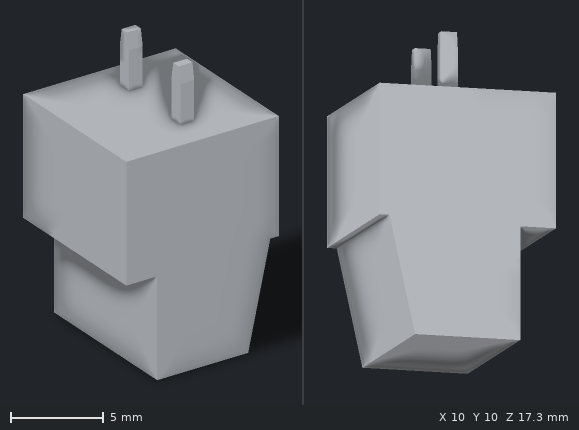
import cadquery as cq

total_height = 17.3
housing_width = 10.0
housing_depth = 10.0

pin_length = 3.5
pin_width = 0.88
pin_depth = 0.9
pin_tip_width = 0.54
pin_taper_length = 1.0
pin_pitch = 5.0
pin_offset_y = 0.4

housing_height = total_height - pin_length
front_step_height = 6.3
back_step_height = 6.52
front_setback = 2.02
back_lip = 0.55
back_foot_setback = 2.0

half_depth = housing_depth / 2


def make_housing():
    """Stepped side profile in the YZ plane, extruded across the full width."""
    profile = [
        (-half_depth + front_setback, 0),
        (half_depth - back_foot_setback, 0),
        (half_depth - back_lip, back_step_height),
        (half_depth, back_step_height),
        (half_depth, housing_height),
        (-half_depth, housing_height),
        (-half_depth, front_step_height),
        (-half_depth + front_setback, front_step_height),
    ]
    return cq.Workplane("YZ").polyline(profile).close().extrude(housing_width / 2, both=True)


def make_pin(center_x):
    """Straight pin standing on the housing, tapered at the tip on its two X sides."""
    shoulder_z = total_height - pin_taper_length
    outline = [
        (-pin_width / 2, housing_height),
        (pin_width / 2, housing_height),
        (pin_width / 2, shoulder_z),
        (pin_tip_width / 2, total_height),
        (-pin_tip_width / 2, total_height),
        (-pin_width / 2, shoulder_z),
    ]
    pin = cq.Workplane("XZ").polyline(outline).close().extrude(pin_depth / 2, both=True)
    return pin.translate((center_x, pin_offset_y, 0))


housing = make_housing()
pins = []
for side in (-1, 1):
    pins.append(make_pin(side * pin_pitch / 2))

result = cq.Compound.makeCompound([housing.val(), *[pin.val() for pin in pins]])